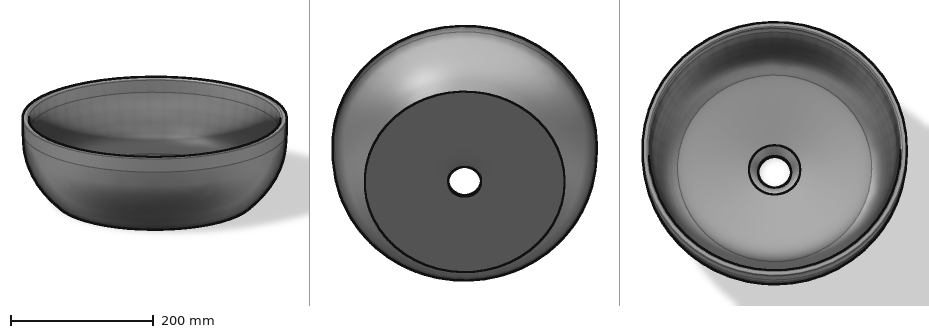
import cadquery as cq

rim_radius = 185.0
height = 120.0
foot_radius = 140.0
wall = 9.0
rim_band = 20.5
outer_rim_round = 1.0
inner_rim_round = 2.5

outer_belly = (176.5, 49.5)
inner_belly = (167.0, 52.5)
foot_slope = 0.9
floor_edge_slope = 0.25

floor_radius = 135.8
floor_edge_z = 22.2
drain_top_radius = 36.0
drain_top_z = 14.8
drain_radius = 46.0 / 2
drain_throat_z = 5.0

band_z = height - rim_band
inner_radius = rim_radius - wall


def make_bowl():
    """Revolve the wall, floor and drain half-section about Z."""
    inner_wall = [inner_belly, (inner_radius, band_z)]
    outer_wall = [outer_belly, (foot_radius, 0)]
    section = (
        cq.Workplane("XZ")
        .moveTo(drain_radius, 0)
        .lineTo(drain_radius, drain_throat_z)
        .lineTo(drain_top_radius, drain_top_z)
        .lineTo(floor_radius, floor_edge_z)
        .spline(inner_wall, tangents=[(1, floor_edge_slope), (0, 1)], includeCurrent=True)
        .lineTo(inner_radius, height)
        .lineTo(rim_radius, height)
        .lineTo(rim_radius, band_z)
        .spline(outer_wall, tangents=[(0, -1), (-1, -foot_slope)], includeCurrent=True)
        .close()
    )
    return section.revolve(360, (0, 0, 0), (0, 1, 0))


def round_rim(bowl):
    """Soften the inner and outer edges of the rim."""
    inner_edge = cq.selectors.RadiusNthSelector(0)
    outer_edge = cq.selectors.RadiusNthSelector(-1)
    bowl = bowl.faces(">Z").edges(inner_edge).fillet(inner_rim_round)
    return bowl.faces(">Z").edges(outer_edge).fillet(outer_rim_round)


result = round_rim(make_bowl())